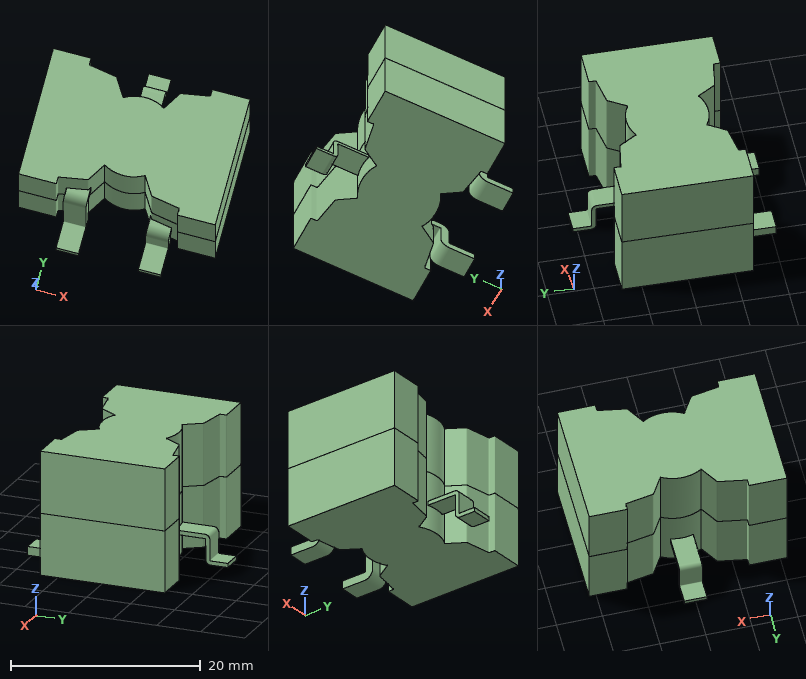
import cadquery as cq

CORE_LENGTH = 21.5
CORE_DEPTH = 14.2
CORE_HEIGHT = 14.0
HALF_HEIGHT = CORE_HEIGHT / 2

POST_RADIUS = 4.4
POST_EDGE_X = 2.21
SHOULDER_X = 3.46
SHOULDER_Y = 5.8
SHOULDER_RADIUS = 0.22
STEP_X = 6.6
STEP_Y = 6.35
STEP_RADIUS = 0.09

MATCH_TOLERANCE = 0.002

LEAD_WIDTH = 2.5
LEAD_INNER_RADIUS = 0.09
FRONT_THICKNESS = 1.0
FRONT_PITCH = 8.99
FRONT_REACH = 10.58
FRONT_LIMB = 7.57
LEFT_TOP = 9.76
RIGHT_TOP = 4.39
BACK_THICKNESS = 0.5
BACK_REACH = 10.43
BACK_LIMB = 8.38
BACK_TOP = 3.42


def round_uprights(solid, x, y, radius):
    """Round the four vertical edges at the mirrored positions (+-x, +-y)."""

    def is_at_position(edge):
        center = edge.Center()
        x_matches = abs(abs(center.x) - x) < MATCH_TOLERANCE
        y_matches = abs(abs(center.y) - y) < MATCH_TOLERANCE
        return x_matches and y_matches

    edges = solid.edges("|Z").filter(is_at_position)
    return solid.newObject(edges.vals()).fillet(radius)


def core_half(base_z):
    """One half of the core, a prism with a recess in its front and back faces."""
    block = cq.Workplane("XY").box(CORE_LENGTH, CORE_DEPTH, HALF_HEIGHT, centered=(True, True, False))
    post_edge_y = (POST_RADIUS**2 - POST_EDGE_X**2) ** 0.5
    face_y = CORE_DEPTH / 2
    recess = (
        cq.Workplane("XY")
        .moveTo(-STEP_X, face_y)
        .lineTo(-STEP_X, STEP_Y)
        .lineTo(-SHOULDER_X, SHOULDER_Y)
        .lineTo(-POST_EDGE_X, post_edge_y)
        .threePointArc((0, POST_RADIUS), (POST_EDGE_X, post_edge_y))
        .lineTo(SHOULDER_X, SHOULDER_Y)
        .lineTo(STEP_X, STEP_Y)
        .lineTo(STEP_X, face_y)
        .close()
        .extrude(HALF_HEIGHT)
    )
    half = block.cut(recess).cut(recess.mirror("XZ"))

    for x, y, radius in (
        (SHOULDER_X, SHOULDER_Y, SHOULDER_RADIUS),
        (STEP_X, STEP_Y, STEP_RADIUS),
        (STEP_X, face_y, STEP_RADIUS),
    ):
        half = round_uprights(half, x, y, radius)
    return half.translate((0, 0, base_z))


def bent_lead(thickness, reach, limb, top):
    """A lead on the back side: arm from the core, bend down, limb, bend out, foot on Z = 0."""
    inner = LEAD_INNER_RADIUS
    outer = thickness + inner
    limb_inside = limb - thickness
    arm_underside = top - thickness
    return (
        cq.Workplane("YZ")
        .moveTo(0, top)
        .lineTo(limb - outer, top)
        .radiusArc((limb, top - outer), outer)
        .lineTo(limb, thickness + inner)
        .radiusArc((limb + inner, thickness), -inner)
        .lineTo(reach, thickness)
        .lineTo(reach, 0)
        .lineTo(limb_inside + outer, 0)
        .radiusArc((limb_inside, outer), outer)
        .lineTo(limb_inside, arm_underside - inner)
        .radiusArc((limb_inside - inner, arm_underside), -inner)
        .lineTo(0, arm_underside)
        .close()
        .extrude(LEAD_WIDTH / 2, both=True)
    )


lower_core = core_half(0)
upper_core = core_half(HALF_HEIGHT)


def fit_to_core(lead):
    """End the lead's arm flush on the surface of the core."""
    return lead.cut(lower_core).cut(upper_core)


front_leads = []
for x, top in ((-FRONT_PITCH / 2, LEFT_TOP), (FRONT_PITCH / 2, RIGHT_TOP)):
    lead = bent_lead(FRONT_THICKNESS, FRONT_REACH, FRONT_LIMB, top)
    lead = lead.rotate((0, 0, 0), (0, 0, 1), 180).translate((x, 0, 0))
    front_leads.append(fit_to_core(lead).val())

back_lead = fit_to_core(bent_lead(BACK_THICKNESS, BACK_REACH, BACK_LIMB, BACK_TOP))

result = cq.Compound.makeCompound([lower_core.val(), upper_core.val(), *front_leads, back_lead.val()])